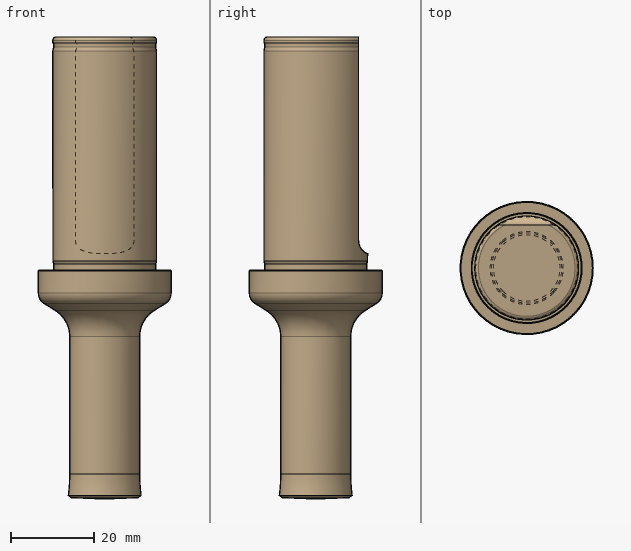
import cadquery as cq
import math

TOTAL_LENGTH = 111.0
FLANGE_TOP = 55.1
BLEND_TOP = 49.5
BLEND_BOTTOM = 39.1
TIP_TOP = 6.0

SHANK_RADIUS = 25.0 / 2
NECK_RADIUS = 24.5 / 2
NECK_TOP = 57.2
NECK_TAPER = 0.7
TOP_ROUND = 0.9
GROOVE_TOP = 109.6
GROOVE_BOTTOM = 107.6
GROOVE_TAPER = 1.0

RELIEF_RADIUS = 13.3
RELIEF_DEPTH = 0.2

FLAT_Y = 10.3
FLAT_RUNOUT_Z = 62.0
RUNOUT_RADIUS = 3.3

FLANGE_RADIUS = 32.0 / 2
FLANGE_CHAMFER = 0.2
STEM_RADIUS = 16.9 / 2
BLEND_SLOPE = math.radians(32)
CONCAVE_RADIUS = 7.3

TIP_RADIUS = 17.5 / 2
TIP_EDGE_Z = 0.9
TIP_BEVEL_RADIUS = 8.0
TIP_BEVEL_Z = 0.3


def polar(center, radius, angle):
    return (center[0] + radius * math.cos(angle), center[1] + radius * math.sin(angle))


def make_holder_blank():
    """Revolve the holder: stem, blend, flange, neck and shank."""
    turn = math.pi / 2 - BLEND_SLOPE
    concave_center = (STEM_RADIUS + CONCAVE_RADIUS, BLEND_BOTTOM)
    concave_mid = polar(concave_center, CONCAVE_RADIUS, math.pi - turn / 2)
    concave_end = polar(concave_center, CONCAVE_RADIUS, math.pi - turn)
    corner_z = concave_end[1] + (FLANGE_RADIUS - concave_end[0]) * math.tan(BLEND_SLOPE)
    convex_radius = (BLEND_TOP - corner_z) / math.tan(turn / 2)
    convex_center = (FLANGE_RADIUS - convex_radius, BLEND_TOP)
    convex_start = polar(convex_center, convex_radius, -turn)
    convex_mid = polar(convex_center, convex_radius, -turn / 2)
    top_center = (SHANK_RADIUS - TOP_ROUND, TOTAL_LENGTH - TOP_ROUND)

    profile = (
        cq.Workplane("XZ")
        .moveTo(0, TIP_TOP)
        .lineTo(STEM_RADIUS, TIP_TOP)
        .lineTo(STEM_RADIUS, BLEND_BOTTOM)
        .threePointArc(concave_mid, concave_end)
        .lineTo(*convex_start)
        .threePointArc(convex_mid, (FLANGE_RADIUS, BLEND_TOP))
        .lineTo(FLANGE_RADIUS, FLANGE_TOP - FLANGE_CHAMFER)
        .lineTo(FLANGE_RADIUS - FLANGE_CHAMFER, FLANGE_TOP)
        .lineTo(RELIEF_RADIUS, FLANGE_TOP)
        .lineTo(RELIEF_RADIUS - RELIEF_DEPTH, FLANGE_TOP - RELIEF_DEPTH)
        .lineTo(NECK_RADIUS, FLANGE_TOP - RELIEF_DEPTH)
        .lineTo(NECK_RADIUS, NECK_TOP - NECK_TAPER)
        .lineTo(SHANK_RADIUS, NECK_TOP)
        .lineTo(SHANK_RADIUS, GROOVE_BOTTOM)
        .lineTo(NECK_RADIUS, GROOVE_BOTTOM + GROOVE_TAPER)
        .lineTo(NECK_RADIUS, GROOVE_TOP)
        .lineTo(SHANK_RADIUS, GROOVE_TOP)
        .lineTo(*polar(top_center, TOP_ROUND, 0))
        .threePointArc(polar(top_center, TOP_ROUND, math.pi / 4), polar(top_center, TOP_ROUND, math.pi / 2))
        .lineTo(0, TOTAL_LENGTH)
        .close()
    )
    return profile.revolve(360, (0, 0, 0), (0, 1, 0))


def make_flat_cutter():
    """Block that mills the clamping flat, leaving a round run-out at the bottom."""
    height = TOTAL_LENGTH - FLAT_RUNOUT_Z + RUNOUT_RADIUS
    return (
        cq.Workplane("XY")
        .box(2 * SHANK_RADIUS, 2 * RUNOUT_RADIUS, height, centered=(True, False, False))
        .translate((0, FLAT_Y, FLAT_RUNOUT_Z - RUNOUT_RADIUS))
        .edges("|X and <Y and <Z")
        .fillet(RUNOUT_RADIUS)
    )


def make_tip():
    """Revolve the flared cutting tip on the end of the stem."""
    flare = TIP_RADIUS - STEM_RADIUS
    flare_height = TIP_TOP - TIP_EDGE_Z
    flare_arc_radius = (flare_height**2 + flare**2) / (2 * flare)
    flare_mid_z = (TIP_TOP + TIP_EDGE_Z) / 2
    flare_mid_radius = STEM_RADIUS + flare_arc_radius - math.sqrt(
        flare_arc_radius**2 - (TIP_TOP - flare_mid_z) ** 2
    )
    return (
        cq.Workplane("XZ")
        .moveTo(0, TIP_TOP)
        .lineTo(STEM_RADIUS, TIP_TOP)
        .threePointArc((flare_mid_radius, flare_mid_z), (TIP_RADIUS, TIP_EDGE_Z))
        .lineTo(TIP_BEVEL_RADIUS, TIP_BEVEL_Z)
        .lineTo(0, 0)
        .close()
        .revolve(360, (0, 0, 0), (0, 1, 0))
    )


holder = make_holder_blank().cut(make_flat_cutter())
tip = make_tip()

result = cq.Compound.makeCompound([holder.val(), tip.val()])